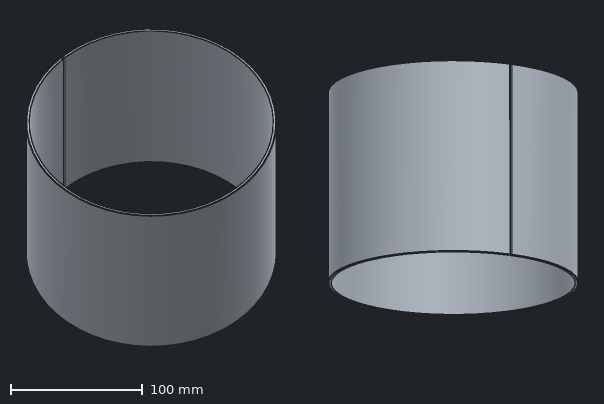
import cadquery as cq

OUTER_RADIUS = 95.0
WALL = 2.5
HEIGHT = 150.0
SLIT_ANGLE = 1.0
OUTER_CHAMFER = 0.5
INNER_CHAMFER = 0.2

INNER_RADIUS = OUTER_RADIUS - WALL
SWEEP_ANGLE = 360.0 - SLIT_ANGLE


def split_sleeve():
    """Revolve the wall section about Z from the -X side, stopping short to leave the slit."""
    section = (
        cq.Workplane("XZ")
        .moveTo(-OUTER_RADIUS, 0)
        .lineTo(-INNER_RADIUS, 0)
        .lineTo(-INNER_RADIUS, HEIGHT)
        .lineTo(-OUTER_RADIUS, HEIGHT)
        .close()
    )
    return section.revolve(SWEEP_ANGLE, (0, 0, 0), (0, 1, 0))


def chamfer_rims(sleeve, radius_rank, size):
    """Chamfer both end rims of the wall face picked by its rank in radius (0 = inner, -1 = outer)."""
    rims = cq.selectors.RadiusNthSelector(radius_rank)
    return sleeve.edges("%CIRCLE").edges(rims).chamfer(size)


result = split_sleeve()
result = chamfer_rims(result, -1, OUTER_CHAMFER)
result = chamfer_rims(result, 0, INNER_CHAMFER)